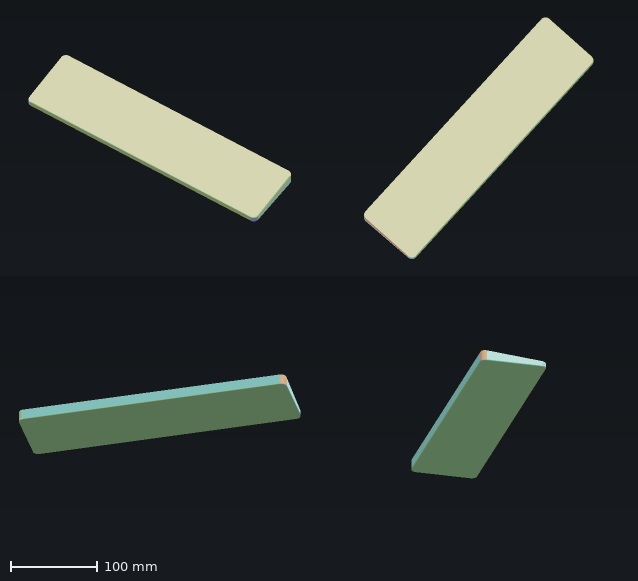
import cadquery as cq
import math

LENGTH = 321.58
DEPTH = 80.0
OVERALL_HEIGHT = 14.9
TOP_SLOPE = math.radians(5.0)
CORNER_RADIUS = 7.0
RIM_RADIUS = 1.2

PEAK_LOSS = RIM_RADIUS * (math.tan(TOP_SLOPE) + 1 / math.cos(TOP_SLOPE) - 1)
BACK_HEIGHT = OVERALL_HEIGHT + PEAK_LOSS
FRONT_HEIGHT = BACK_HEIGHT - DEPTH * math.tan(TOP_SLOPE)


def sharp_wedge():
    """Wedge with a flat base at Z = 0 and a top face sloping down to the front."""
    side_profile = [
        (-DEPTH / 2, 0),
        (DEPTH / 2, 0),
        (DEPTH / 2, BACK_HEIGHT),
        (-DEPTH / 2, FRONT_HEIGHT),
    ]
    return cq.Workplane("YZ").polyline(side_profile).close().extrude(LENGTH / 2, both=True)


def round_corners(body):
    """Round the four upright corners."""
    return body.edges("|Z").fillet(CORNER_RADIUS)


def round_rims(body):
    """Round the edges around the base and around the sloping top face."""
    top_normal = cq.Vector(0, -math.sin(TOP_SLOPE), math.cos(TOP_SLOPE))
    top_selector = cq.selectors.DirectionMinMaxSelector(top_normal, True)
    for rim_face in ("<Z", top_selector):
        body = body.faces(rim_face).edges().fillet(RIM_RADIUS)
    return body


result = round_rims(round_corners(sharp_wedge()))